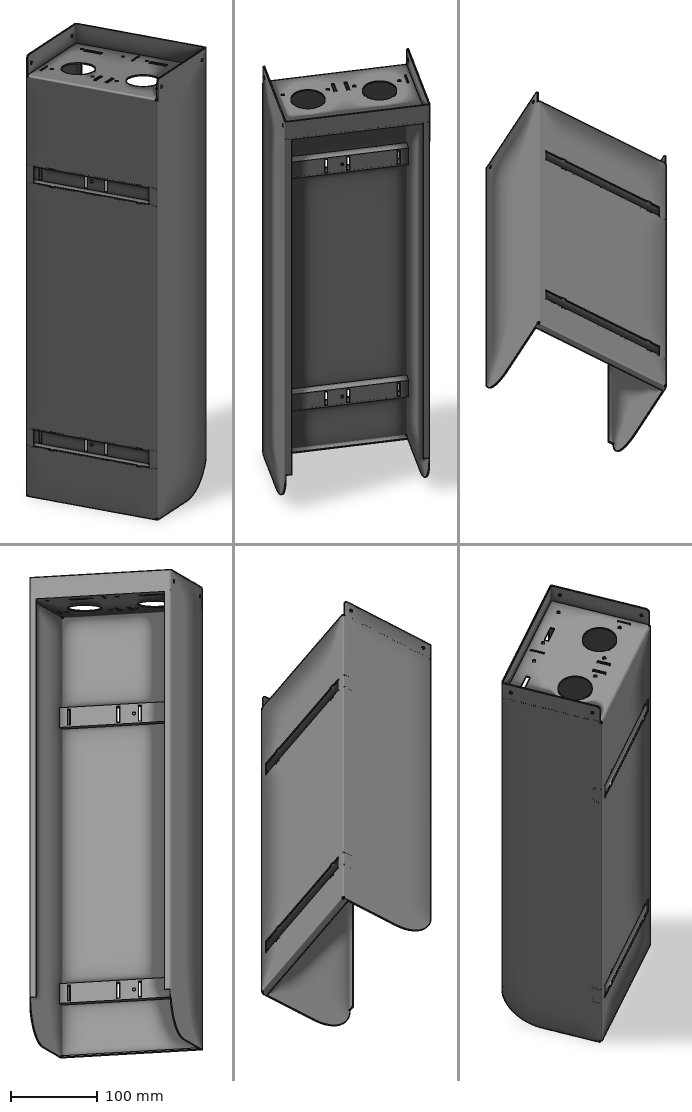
import cadquery as cq

width = 171.0
depth = 123.0
height = 541.5
sheet = 1.5
inner_bend = 0.9
outer_bend = inner_bend + sheet

front_y = -depth / 2
rear_y = depth / 2
bend_y = front_y + outer_bend
inner_width = width - 2 * sheet
flat_width = width - 2 * outer_bend

side_corner_radius = 50.0
side_top_radius = 4.5
side_hole_diameter = 4.0
side_hole_y = 50.0
side_hole_z = 529.5

rear_flange = 8.0
bottom_flange = 8.0

plate_z = 517.5
port_x = 42.0
port_y = -13.5
port_diameter = 39.5
screw_diameter = 4.0
screw_offset_x = 26.5
screw_rows_y = (46.0, -28.5)
cable_slot_offset_x = -11.0
cable_slot_y = 44.0
cable_slot_length = 21.5
cable_slot_width = 5.0
slit_length = 15.5
slit_y = -31.0
inner_slit_x = 7.5
inner_slit_width = 3.0
outer_slit_x = 78.0
thin_slit_width = 1.5
rear_slit_length = 17.0
rear_slit_y = 47.5

bracket_heights = (73.5, 397.0)
slot_width = 151.0
slot_height = 20.0
channel_depth = 11.5
window_height = 18.5
inner_window_x = 13.0
inner_window_width = 3.4
outer_window_x = 72.5
outer_window_width = 3.6
bracket_hole_x = -6.0
bracket_hole_diameter = 3.0
tab_positions_x = (-51.5, 62.0)
tab_width = 5.5


def block(x_size, y_min, y_max, z_min, z_max, x_center=0.0):
    """Box centred on x_center and spanning the given Y and Z ranges."""
    return (
        cq.Workplane("XY")
        .box(x_size, y_max - y_min, z_max - z_min)
        .translate((x_center, (y_min + y_max) / 2, (z_min + z_max) / 2))
    )


def wrap_sheet():
    """Front panel, side walls and rear flanges, bent from one sheet around vertical corners."""
    outside = block(width, front_y, rear_y, 0, height).edges("|Z").fillet(outer_bend)
    inside = (
        block(inner_width, front_y + sheet, rear_y - sheet, 0, height)
        .edges("|Z")
        .fillet(inner_bend)
    )
    wrap = outside.cut(inside)

    wrap = wrap.cut(block(width, front_y, bend_y, plate_z - outer_bend, height))
    wrap = wrap.cut(block(width, front_y, bend_y, 0, outer_bend))

    rear_inside_y = rear_y - outer_bend
    wrap = wrap.cut(block(width - 2 * rear_flange, rear_inside_y, rear_y, 0, plate_z - sheet))
    wrap = wrap.cut(block(inner_width, rear_inside_y, rear_y, 0, side_corner_radius))
    return wrap.intersect(side_outline())


def side_outline():
    """Solid block with the silhouette of the side walls plus the front bend below the top plate."""
    outline = block(width, front_y, rear_y, 0, height)
    outline = outline.edges("|X and >Y and <Z").fillet(side_corner_radius)
    upper = block(width, bend_y, rear_y, plate_z, height)
    upper = upper.edges("|X and <Y and >Z").fillet(side_top_radius)
    return outline.cut(block(width, front_y, rear_y, plate_z, height)).union(upper)


def side_holes():
    """Screw holes near the top of both side walls."""
    return (
        cq.Workplane("YZ")
        .pushPoints([(-side_hole_y, side_hole_z), (side_hole_y, side_hole_z)])
        .circle(side_hole_diameter / 2)
        .extrude(width, both=True)
    )


def front_bend(bend_edge, z_min, z_max):
    """Curved strip along X that joins the front panel to the top plate or the bottom flange."""
    outside = block(flat_width, front_y, rear_y, 0, plate_z).edges(bend_edge).fillet(outer_bend)
    inside = (
        block(flat_width, front_y + sheet, rear_y, sheet, plate_z - sheet)
        .edges(bend_edge)
        .fillet(inner_bend)
    )
    return outside.cut(inside).intersect(block(width, front_y, bend_y, z_min, z_max))


def top_plate():
    """Top plate reaching back to the rear strip and out to both side walls."""
    bend = front_bend("|X and <Y and >Z", plate_z - outer_bend, plate_z)
    plate = bend.union(block(inner_width, bend_y, rear_y - sheet, plate_z - sheet, plate_z))
    return plate.cut(top_plate_openings())


def top_plate_openings():
    """Ports, screw holes, cable slots and slits through the top plate."""
    plane = cq.Workplane("XY", origin=(0, 0, plate_z - sheet))
    ports = (-port_x, port_x)
    screws = [
        (port + side * screw_offset_x, y) for port in ports for side in (-1, 1) for y in screw_rows_y
    ]
    openings = plane.pushPoints([(port, port_y) for port in ports]).circle(port_diameter / 2)
    openings = openings.extrude(sheet)
    openings = openings.union(plane.pushPoints(screws).circle(screw_diameter / 2).extrude(sheet))
    openings = openings.union(
        plane.pushPoints([(port + cable_slot_offset_x, cable_slot_y) for port in ports])
        .rect(cable_slot_length, cable_slot_width)
        .extrude(sheet)
    )
    slits = [(0, rear_slit_y, thin_slit_width, rear_slit_length)]
    for side in (-1, 1):
        slits.append((side * inner_slit_x, slit_y, inner_slit_width, slit_length))
        slits.append((side * outer_slit_x, slit_y, thin_slit_width, slit_length))
    for x, y, x_size, y_size in slits:
        openings = openings.union(plane.center(x, y).rect(x_size, y_size).extrude(sheet))
    return openings


def bottom_plate():
    """Narrow flange folded back from the lower edge of the front panel."""
    bend = front_bend("|X and <Y and <Z", 0, outer_bend)
    return bend.union(block(inner_width, bend_y, front_y + bottom_flange, 0, sheet))


def front_opening(z_center):
    """Rectangular opening through the front panel in front of a bracket."""
    return block(slot_width, front_y, front_y + sheet,
                 z_center - slot_height / 2, z_center + slot_height / 2)


def bracket_tabs(z_center):
    """Tabs on both channel flanges that fill notches in the edges of the front opening."""
    tab_height = slot_height + 2 * sheet
    tabs = cq.Workplane("XY")
    for x in tab_positions_x:
        tabs = tabs.union(
            block(tab_width, front_y, front_y + sheet,
                  z_center - tab_height / 2, z_center + tab_height / 2, x)
        )
    return tabs.cut(front_opening(z_center))


def make_housing():
    """Sheet-metal enclosure with openings and tab notches for the brackets."""
    housing = wrap_sheet().union(top_plate()).union(bottom_plate()).cut(side_holes())
    for z_center in bracket_heights:
        housing = housing.cut(front_opening(z_center)).cut(bracket_tabs(z_center))
    return housing


def make_bracket(z_center):
    """Channel open to the front, spanning the housing, with windows and a hole in its back."""
    channel_front = front_y + sheet
    channel_back = channel_front + channel_depth
    half_clear = slot_height / 2
    half_outer = half_clear + sheet
    bracket = block(inner_width, channel_front, channel_back,
                    z_center - half_outer, z_center + half_outer)
    bracket = bracket.edges("|Z and <Y").fillet(inner_bend)
    bracket = bracket.cut(block(inner_width, channel_front, channel_back - sheet,
                                z_center - half_clear, z_center + half_clear))
    for side in (-1, 1):
        for x, x_size in ((inner_window_x, inner_window_width), (outer_window_x, outer_window_width)):
            bracket = bracket.cut(
                block(x_size, channel_front, channel_back,
                      z_center - window_height / 2, z_center + window_height / 2, side * x)
            )
    hole = (
        cq.Workplane("XZ", origin=(bracket_hole_x, channel_front, z_center))
        .circle(bracket_hole_diameter / 2)
        .extrude(-channel_depth)
    )
    return bracket.cut(hole).union(bracket_tabs(z_center))


housing = make_housing()
brackets = [make_bracket(z_center) for z_center in bracket_heights]

result = cq.Compound.makeCompound([housing.val(), *[bracket.val() for bracket in brackets]])